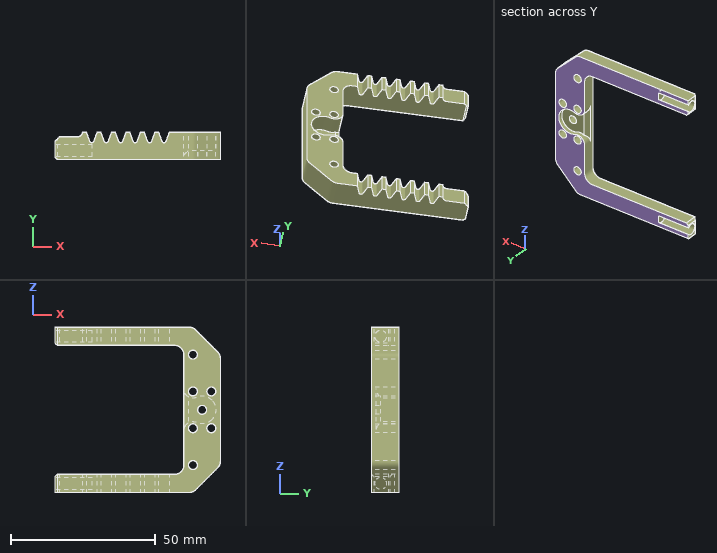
import math

import cadquery as cq

INCH = 25.4

SIDE = 2.25 * INCH
THICKNESS = INCH * 3 / 8
ARM_WIDTH = INCH / 4
BAR_WIDTH = INCH / 2
INNER_RADIUS = INCH / 8
CORNER_CUT = INCH * 3 / 8
CORNER_RADIUS = INCH / 8

HALF = SIDE / 2
FRONT = -THICKNESS / 2
BACK = THICKNESS / 2
TIP_X = -HALF
BAR_INNER_X = HALF - BAR_WIDTH
BAR_MIDDLE_X = HALF - BAR_WIDTH / 2
INNER_HALF = HALF - ARM_WIDTH
ARM_MIDDLE_Z = HALF - ARM_WIDTH / 2

STEP_DEPTH = INCH / 16
STEP_RADIUS = INCH / 16
BACK_CHAMFER = INCH / 16
TIP_CHAMFER = INCH / 32
TIP_HOLE_DIAMETER = 4.1
TIP_HOLE_DEPTH = INCH / 2
TIP_HOLE_Y = FRONT + INCH / 8

DIAMETRAL_PITCH = 16
PRESSURE_ANGLE = math.radians(20)
FLANK_SLOPE = math.tan(PRESSURE_ANGLE)
FLANK_SINE = math.sin(PRESSURE_ANGLE)
FLANK_COSINE = math.cos(PRESSURE_ANGLE)
ADDENDUM = INCH / DIAMETRAL_PITCH
TOOTH_PITCH = math.pi * ADDENDUM
GAP_WIDTH = TOOTH_PITCH / 2 + 2 * ADDENDUM * FLANK_SLOPE
GAP_DEPTH = 2.3 * ADDENDUM
GAP_COUNT = 6
FIRST_GAP_X = TIP_X + INCH / 2

HOLE_DIAMETER = 3.0
HOLE_SPACING = INCH / 4
END_HOLE_OFFSET = INCH * 3 / 4

POCKET_DEPTH = INCH / 4
POCKET_RADIUS = INCH * 3 / 16
LEAD_IN_RADIUS = INCH / 8
FLOOR_CHAMFER = INCH / 16

OVERCUT = 1.0


def make_frame():
    """U-shaped plate with cut-off outer corners and rounded inner corners."""
    plate = (
        cq.Workplane("XY")
        .box(SIDE, THICKNESS, SIDE)
        .edges("|Y and >X")
        .chamfer(CORNER_CUT)
        .edges("|Y and (not <X)")
        .fillet(CORNER_RADIUS)
    )
    opening_length = SIDE - BAR_WIDTH + OVERCUT
    opening = (
        cq.Workplane("XY")
        .box(opening_length, THICKNESS + 2 * OVERCUT, 2 * INNER_HALF)
        .translate((BAR_INNER_X - opening_length / 2, 0, 0))
        .edges("|Y and >X")
        .fillet(INNER_RADIUS)
    )
    return plate.cut(opening)


def extrude_through_z(profile):
    """Closed X-Y profile turned into a tool crossing both arms."""
    return profile.close().extrude(HALF + OVERCUT, both=True)


def make_back_step():
    """Material removed from the back of the tips, up to the flank of the first tooth.

    A concave round is tangent to both the shelf and the flank.
    """
    shelf_y = BACK - STEP_DEPTH
    flank_top_x = FIRST_GAP_X - TOOTH_PITCH + GAP_WIDTH / 2
    round_y = shelf_y + STEP_RADIUS
    flank_x = flank_top_x - (BACK - round_y) * FLANK_SLOPE
    round_x = flank_x - STEP_RADIUS / FLANK_COSINE
    middle_angle = (PRESSURE_ANGLE + math.pi / 2) / 2
    arc_middle = (
        round_x + STEP_RADIUS * math.cos(middle_angle),
        round_y - STEP_RADIUS * math.sin(middle_angle),
    )
    arc_end = (round_x + STEP_RADIUS * FLANK_COSINE, round_y - STEP_RADIUS * FLANK_SINE)
    return extrude_through_z(
        cq.Workplane("XY")
        .moveTo(TIP_X - OVERCUT, BACK + OVERCUT)
        .lineTo(TIP_X - OVERCUT, shelf_y - BACK_CHAMFER - OVERCUT)
        .lineTo(TIP_X + BACK_CHAMFER, shelf_y)
        .lineTo(round_x, shelf_y)
        .threePointArc(arc_middle, arc_end)
        .lineTo(flank_top_x + OVERCUT * FLANK_SLOPE, BACK + OVERCUT)
    )


def make_front_tip_chamfer():
    """Corner wedge along the front edge of both tips."""
    return extrude_through_z(
        cq.Workplane("XY")
        .moveTo(TIP_X, FRONT)
        .lineTo(TIP_X + TIP_CHAMFER, FRONT)
        .lineTo(TIP_X, FRONT + TIP_CHAMFER)
    )


def make_inner_tip_chamfer(side):
    """Corner wedge along the inner edge of one tip; side is +1 or -1 in Z."""
    return (
        cq.Workplane("XZ")
        .moveTo(TIP_X, side * INNER_HALF)
        .lineTo(TIP_X + TIP_CHAMFER, side * INNER_HALF)
        .lineTo(TIP_X, side * (INNER_HALF + TIP_CHAMFER))
        .close()
        .extrude(THICKNESS, both=True)
    )


def make_tip_hole(side):
    """Blind hole running along one arm from its tip."""
    return (
        cq.Workplane("YZ", origin=(TIP_X, 0, 0))
        .center(TIP_HOLE_Y, side * ARM_MIDDLE_Z)
        .circle(TIP_HOLE_DIAMETER / 2)
        .extrude(TIP_HOLE_DEPTH)
    )


def make_tooth_gap(middle_x):
    """Tapered tooth gap whose root is one arc tangent to both flanks."""
    flank_meeting_depth = GAP_WIDTH / 2 / FLANK_SLOPE
    root_radius = (flank_meeting_depth - GAP_DEPTH) * FLANK_SINE / (1 - FLANK_SINE)
    root_y = BACK - GAP_DEPTH
    tangent_y = root_y + root_radius * (1 - FLANK_SINE)
    tangent_half = root_radius * FLANK_COSINE
    mouth_y = BACK + OVERCUT
    mouth_half = GAP_WIDTH / 2 + OVERCUT * FLANK_SLOPE
    return extrude_through_z(
        cq.Workplane("XY")
        .moveTo(middle_x - mouth_half, mouth_y)
        .lineTo(middle_x - tangent_half, tangent_y)
        .threePointArc((middle_x, root_y), (middle_x + tangent_half, tangent_y))
        .lineTo(middle_x + mouth_half, mouth_y)
    )


def make_bar_holes():
    """Five holes in a quincunx, plus one hole towards each end of the bar."""
    near_x = BAR_MIDDLE_X - HOLE_SPACING / 2
    far_x = BAR_MIDDLE_X + HOLE_SPACING / 2
    centres = [(BAR_MIDDLE_X, 0)]
    for side in (1, -1):
        centres.append((near_x, side * HOLE_SPACING))
        centres.append((far_x, side * HOLE_SPACING))
        centres.append((near_x, side * END_HOLE_OFFSET))
    return (
        cq.Workplane("XZ")
        .pushPoints(centres)
        .circle(HOLE_DIAMETER / 2)
        .extrude(THICKNESS, both=True)
    )


def make_pocket():
    """Keyhole pocket open to the back and to the inner face of the crossbar.

    Convex lead-ins, tangent to the inner face, flow into a round bottom that
    is centred on the bar. The front edge of the floor is chamfered.
    """
    lead_x = BAR_INNER_X + LEAD_IN_RADIUS
    run = BAR_MIDDLE_X - lead_x
    reach = POCKET_RADIUS + LEAD_IN_RADIUS
    lead_z = math.sqrt(reach**2 - run**2)
    tangent_x = lead_x + run * LEAD_IN_RADIUS / reach
    tangent_z = lead_z * POCKET_RADIUS / reach
    throat_z = lead_z - LEAD_IN_RADIUS

    def keyhole(depth):
        return (
            cq.Workplane("XZ", origin=(0, BACK, 0))
            .moveTo(BAR_INNER_X, lead_z)
            .threePointArc((lead_x, throat_z), (tangent_x, tangent_z))
            .threePointArc((BAR_MIDDLE_X + POCKET_RADIUS, 0), (tangent_x, -tangent_z))
            .threePointArc((lead_x, -throat_z), (BAR_INNER_X, -lead_z))
            .close()
            .extrude(depth)
        )

    floor_y = BACK - POCKET_DEPTH
    chamfer_wedge = extrude_through_z(
        cq.Workplane("XY")
        .moveTo(BAR_INNER_X, floor_y)
        .lineTo(BAR_INNER_X + FLOOR_CHAMFER, floor_y)
        .lineTo(BAR_INNER_X, floor_y - FLOOR_CHAMFER)
    )
    floor_chamfer = keyhole(POCKET_DEPTH + FLOOR_CHAMFER).intersect(chamfer_wedge)
    return keyhole(POCKET_DEPTH).union(floor_chamfer)


result = make_frame().cut(make_back_step()).cut(make_front_tip_chamfer())
for arm_side in (1, -1):
    result = result.cut(make_inner_tip_chamfer(arm_side))
    result = result.cut(make_tip_hole(arm_side))
for gap in range(GAP_COUNT):
    result = result.cut(make_tooth_gap(FIRST_GAP_X + gap * TOOTH_PITCH))
result = result.cut(make_bar_holes()).cut(make_pocket())